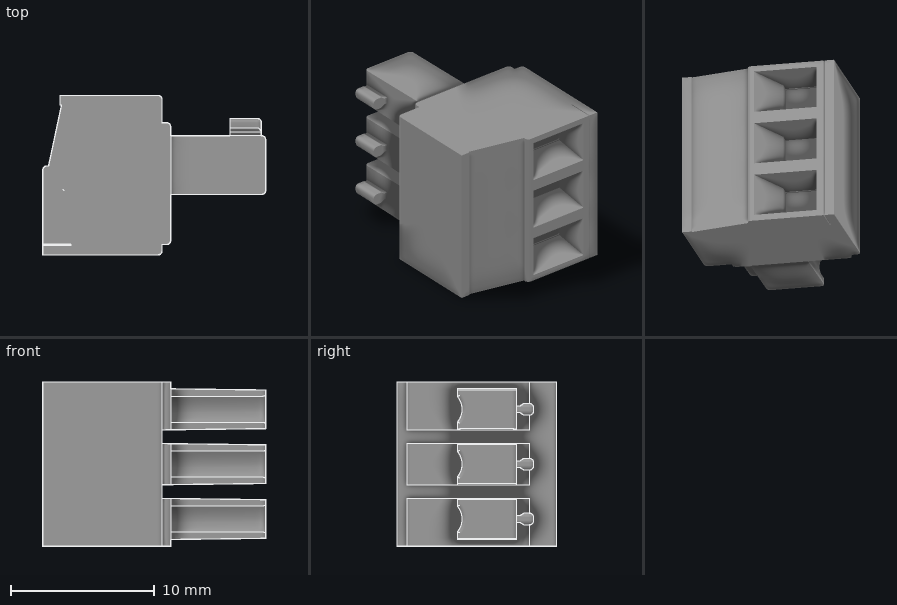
import cadquery as cq


POLES = 3
PITCH = 3.81
ROW_LENGTH = POLES * PITCH
OVERALL_LENGTH = 15.5
POLE_CENTERS = [(i - (POLES - 1) / 2) * PITCH for i in range(POLES)]

HOUSING_HEIGHT = 11.1
HOUSING_FRONT_X = 8.3
EDGE_RADIUS = 0.3
LIP_X = 1.2
LIP_BOTTOM_Y = 10.42
SLOPE_TOP_X = 1.3
SLOPE_BOTTOM_X = 0.4
LEDGE_Y = 6.2

COLLAR_FRONT_X = 8.9
COLLAR_BOTTOM_Y = 0.72
COLLAR_TOP_Y = 9.2

FACE_PLATE_DEPTH = 1.95
PLATE_GAP_TOP_Y = 0.74
PLATE_GAP = 0.06

ENTRY_BOTTOM_Y = 1.23
ENTRY_TOP_Y = 5.69
ENTRY_HALF_WIDTH = 1.48
ENTRY_DEPTH = 2.5
THROAT_DEPTH = 2.0
THROAT_TOP_Y = 4.07
SIDE_TAPER = 0.21
BOTTOM_TAPER = 0.055
TOP_TAPER = 0.1
FLOOR_TOP_Y = THROAT_TOP_Y - TOP_TAPER * (ENTRY_DEPTH - THROAT_DEPTH)
FLOOR_RIM = 0.05
FLOOR_RECESS_DEPTH = 0.1
FLOOR_RECESS_RADIUS = 0.1

PLUG_BOTTOM_Y = 4.2
PLUG_TOP_Y = 8.3
PLUG_BASE_HALF_WIDTH = 1.44
PLUG_TIP_HALF_WIDTH = 1.35
TIP_RADIUS = 0.3
GROOVE_RADIUS = 2.8 / 2
GROOVE_WIDTH = 1.8

RIB_START_X = 13.0
RIB_END_X = 15.2
RIB_ROOT_Y = PLUG_TOP_Y - TIP_RADIUS
RIB_TOP_Y = 9.5
RIB_NECK_TOP_Y = 8.55
RIB_HEAD_BOTTOM_Y = 8.83
RIB_NECK_HALF_WIDTH = 0.23
RIB_HEAD_HALF_WIDTH = 0.41
RIB_RADIUS = 0.3


def row_prism(points):
    """Extrude an XY outline over the full row of poles."""
    return cq.Workplane("XY").polyline(points).close().extrude(ROW_LENGTH / 2, both=True)


def make_housing():
    housing = row_prism([
        (0, 0),
        (HOUSING_FRONT_X, 0),
        (HOUSING_FRONT_X, HOUSING_HEIGHT),
        (LIP_X, HOUSING_HEIGHT),
        (LIP_X, LIP_BOTTOM_Y),
        (SLOPE_TOP_X, LIP_BOTTOM_Y),
        (SLOPE_BOTTOM_X, LEDGE_Y),
        (0, LEDGE_Y),
    ])
    housing = housing.edges("|Z and >X").fillet(EDGE_RADIUS)
    ledge_corner = cq.selectors.NearestToPointSelector((0, LEDGE_Y, 0))
    return housing.edges(ledge_corner).fillet(EDGE_RADIUS)


def make_collar():
    collar = row_prism([
        (FACE_PLATE_DEPTH, COLLAR_BOTTOM_Y),
        (COLLAR_FRONT_X, COLLAR_BOTTOM_Y),
        (COLLAR_FRONT_X, COLLAR_TOP_Y),
        (FACE_PLATE_DEPTH, COLLAR_TOP_Y),
    ])
    collar = collar.edges("|Z and >X").fillet(EDGE_RADIUS)
    for lower, upper in zip(POLE_CENTERS, POLE_CENTERS[1:]):
        collar = collar.cut(make_gap_between_plugs(lower, upper))
    return collar


def make_gap_between_plugs(lower, upper):
    """Wedge of space left between the tapered sides of two neighbouring plugs."""
    return (
        cq.Workplane("XZ", origin=(0, HOUSING_HEIGHT, 0))
        .polyline([
            (HOUSING_FRONT_X, lower + PLUG_BASE_HALF_WIDTH),
            (OVERALL_LENGTH, lower + PLUG_TIP_HALF_WIDTH),
            (OVERALL_LENGTH, upper - PLUG_TIP_HALF_WIDTH),
            (HOUSING_FRONT_X, upper - PLUG_BASE_HALF_WIDTH),
        ])
        .close()
        .extrude(HOUSING_HEIGHT)
    )


def make_plate_gap():
    return row_prism([
        (0, PLATE_GAP_TOP_Y - PLATE_GAP),
        (FACE_PLATE_DEPTH, PLATE_GAP_TOP_Y - PLATE_GAP),
        (FACE_PLATE_DEPTH, PLATE_GAP_TOP_Y),
        (0, PLATE_GAP_TOP_Y),
    ])


def make_plug(center):
    plug = (
        cq.Workplane("XZ", origin=(0, PLUG_TOP_Y, 0))
        .polyline([
            (HOUSING_FRONT_X, center - PLUG_BASE_HALF_WIDTH),
            (OVERALL_LENGTH, center - PLUG_TIP_HALF_WIDTH),
            (OVERALL_LENGTH, center + PLUG_TIP_HALF_WIDTH),
            (HOUSING_FRONT_X, center + PLUG_BASE_HALF_WIDTH),
        ])
        .close()
        .extrude(PLUG_TOP_Y - PLUG_BOTTOM_Y)
    )
    axis_drop = (GROOVE_RADIUS**2 - (GROOVE_WIDTH / 2) ** 2) ** 0.5
    groove = (
        cq.Workplane("YZ", origin=(COLLAR_FRONT_X, PLUG_BOTTOM_Y - axis_drop, center))
        .circle(GROOVE_RADIUS)
        .extrude(OVERALL_LENGTH - COLLAR_FRONT_X)
    )
    plug = plug.cut(groove)
    tip_edges = plug.faces(">X").edges("(not #Z) or |Z")
    return tip_edges.fillet(TIP_RADIUS)


def make_coding_rib(center):
    """Mushroom-shaped rib: narrow neck, flared head with rounded top and tip."""
    half_outline = [
        (RIB_ROOT_Y, RIB_NECK_HALF_WIDTH),
        (RIB_NECK_TOP_Y, RIB_NECK_HALF_WIDTH),
        (RIB_HEAD_BOTTOM_Y, RIB_HEAD_HALF_WIDTH),
        (RIB_TOP_Y, RIB_HEAD_HALF_WIDTH),
    ]
    mirrored_half = [(y, -z) for y, z in reversed(half_outline)]
    length = RIB_END_X - RIB_START_X
    profile_plane = cq.Workplane("YZ", origin=(RIB_START_X, 0, center))
    rib = profile_plane.polyline(half_outline + mirrored_half).close().extrude(length)

    envelope = (
        profile_plane.center((RIB_ROOT_Y + RIB_TOP_Y) / 2, 0)
        .rect(RIB_TOP_Y - RIB_ROOT_Y, 2 * RIB_HEAD_HALF_WIDTH)
        .extrude(length)
    )
    envelope = envelope.edges("(>Y and (not <X)) or (>X and |Y)").fillet(RIB_RADIUS)
    return rib.intersect(envelope)


def entry_bottom_y(depth):
    return ENTRY_BOTTOM_Y + BOTTOM_TAPER * depth


def entry_half_width(depth):
    return ENTRY_HALF_WIDTH - SIDE_TAPER * depth


def entry_section(depth, top_y, center):
    bottom_y = entry_bottom_y(depth)
    half_width = entry_half_width(depth)
    corners = [
        cq.Vector(depth, bottom_y, center - half_width),
        cq.Vector(depth, top_y, center - half_width),
        cq.Vector(depth, top_y, center + half_width),
        cq.Vector(depth, bottom_y, center + half_width),
    ]
    return cq.Wire.makePolygon(corners, close=True)


def make_wire_entry(center):
    """Funnel with a steep upper ramp down to the throat, then a short tapered pocket."""
    mouth = entry_section(0, ENTRY_TOP_Y, center)
    throat = entry_section(THROAT_DEPTH, THROAT_TOP_Y, center)
    floor = entry_section(ENTRY_DEPTH, FLOOR_TOP_Y, center)
    ramp = cq.Workplane(cq.Solid.makeLoft([mouth, throat], True))
    pocket = cq.Workplane(cq.Solid.makeLoft([throat, floor], True))
    return ramp.union(pocket)


def make_floor_recess(center):
    bottom_y = entry_bottom_y(ENTRY_DEPTH)
    height = FLOOR_TOP_Y - bottom_y
    width = 2 * (entry_half_width(ENTRY_DEPTH) - FLOOR_RIM)
    return (
        cq.Workplane("YZ", origin=(ENTRY_DEPTH, (bottom_y + FLOOR_TOP_Y) / 2, center))
        .rect(height, width)
        .extrude(FLOOR_RECESS_DEPTH)
        .edges("|X")
        .fillet(FLOOR_RECESS_RADIUS)
    )


result = make_housing().union(make_collar()).cut(make_plate_gap())
for pole_z in POLE_CENTERS:
    result = result.union(make_plug(pole_z)).union(make_coding_rib(pole_z))
    result = result.cut(make_wire_entry(pole_z))
for end_pole_z in (POLE_CENTERS[0], POLE_CENTERS[-1]):
    result = result.cut(make_floor_recess(end_pole_z))